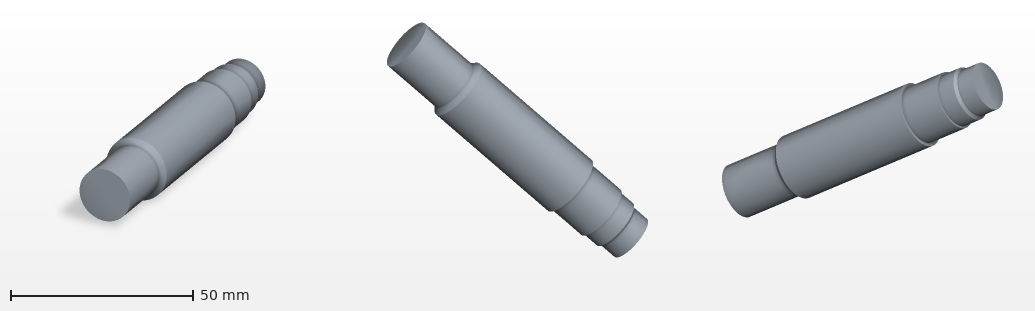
import cadquery as cq

total_length = 85.8

front_diameter = 15.4
body_diameter = 18.4
shoulder_diameter = 16.5
collar_diameter = 15.3
tip_diameter = 13.7

front_length = 18.2
body_length = 44.3
collar_length = 6.1
tip_length = 5.3

body_chamfer = (body_diameter - front_diameter) / 2
collar_chamfer = (collar_diameter - tip_diameter) / 2

shoulder_length = total_length - front_length - body_length - collar_length - tip_length


def cylinder(diameter, start, length):
    """Cylinder along +Y, centred on the shaft axis and beginning at y = start."""
    return cq.Workplane("XZ", origin=(0, start, 0)).circle(diameter / 2).extrude(-length)


front_start = -total_length / 2
body_start = front_start + front_length
shoulder_start = body_start + body_length
collar_start = shoulder_start + shoulder_length
tip_start = collar_start + collar_length

front = cylinder(front_diameter, front_start, front_length)
body = cylinder(body_diameter, body_start, body_length).faces("<Y").chamfer(body_chamfer)
shoulder = cylinder(shoulder_diameter, shoulder_start, shoulder_length)
collar = cylinder(collar_diameter, collar_start, collar_length).faces(">Y").chamfer(collar_chamfer)
tip = cylinder(tip_diameter, tip_start, tip_length)

result = front.union(body).union(shoulder).union(collar).union(tip)